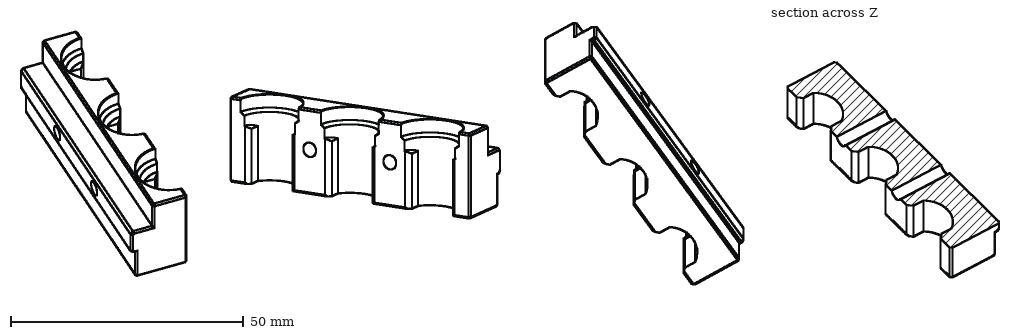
import cadquery as cq

length = 60.0
depth = 13.2
height = 19.0
upper_thickness = 8.1
lower_thickness = 12.05
tongue_bottom = 7.0
tongue_top = 12.9
edge_chamfer = 0.4
tongue_chamfer = 0.6

pitch = length / 3
screw_diameter = 3.2
screw_height = (tongue_bottom + tongue_top) / 2

seat_radius = 7.2
rim_chamfer = 0.1
seat_depth = 3.0
throat_radius = 6.3
cone_height = 0.7
lip_depth = 6.0
lip_slope_height = 0.7
neck_half_width = 5.1
neck_flare = 1.1


def make_body():
    upper_front = depth - upper_thickness
    lower_front = depth - lower_thickness
    outline = [
        (depth - edge_chamfer, 0),
        (depth, edge_chamfer),
        (depth, height - edge_chamfer),
        (depth - edge_chamfer, height),
        (upper_front + edge_chamfer, height),
        (upper_front, height - edge_chamfer),
        (upper_front, tongue_top),
        (tongue_chamfer, tongue_top),
        (0, tongue_top - tongue_chamfer),
        (0, tongue_bottom + tongue_chamfer),
        (tongue_chamfer, tongue_bottom),
        (lower_front, tongue_bottom),
        (lower_front, edge_chamfer),
        (lower_front + edge_chamfer, 0),
    ]
    body = cq.Workplane("YZ").polyline(outline).close().extrude(length)
    return body.faces("<X or >X").chamfer(edge_chamfer)


def make_seat_cutter():
    """Seat, cone and lipped throat, centred on the Z axis with the back face at Y = 0."""
    cone_top = height - seat_depth
    throat_top = cone_top - cone_height
    lip_top = height - lip_depth
    neck_top = lip_top - lip_slope_height

    bore = (
        cq.Workplane("XZ")
        .polyline([
            (0, lip_top),
            (throat_radius, lip_top),
            (throat_radius, throat_top),
            (seat_radius, cone_top),
            (seat_radius, height - rim_chamfer),
            (seat_radius + rim_chamfer, height),
            (0, height),
        ])
        .close()
        .revolve(360, (0, 0, 0), (0, 1, 0))
    )

    flare_half_width = neck_half_width + neck_flare
    neck = (
        cq.Workplane("XY")
        .polyline([
            (-neck_half_width, -throat_radius),
            (neck_half_width, -throat_radius),
            (neck_half_width, -neck_flare),
            (flare_half_width, 0),
            (-flare_half_width, 0),
            (-neck_half_width, -neck_flare),
        ])
        .close()
        .extrude(lip_top)
    )

    lip_slope = (
        cq.Workplane("XZ")
        .polyline([
            (-neck_half_width, neck_top),
            (neck_half_width, neck_top),
            (throat_radius, lip_top),
            (-throat_radius, lip_top),
        ])
        .close()
        .extrude(throat_radius)
    )
    throat = cq.Workplane("XY").circle(throat_radius).extrude(lip_top)
    return bore.union(neck.union(lip_slope).intersect(throat))


def make_screw_hole(x):
    return (
        cq.Workplane("XZ")
        .center(x, screw_height)
        .circle(screw_diameter / 2)
        .extrude(-depth)
    )


result = make_body()

seat_cutter = make_seat_cutter()
for index in range(3):
    seat_x = (index + 0.5) * pitch
    result = result.cut(seat_cutter.translate((seat_x, depth, 0)))

for index in (1, 2):
    result = result.cut(make_screw_hole(index * pitch))